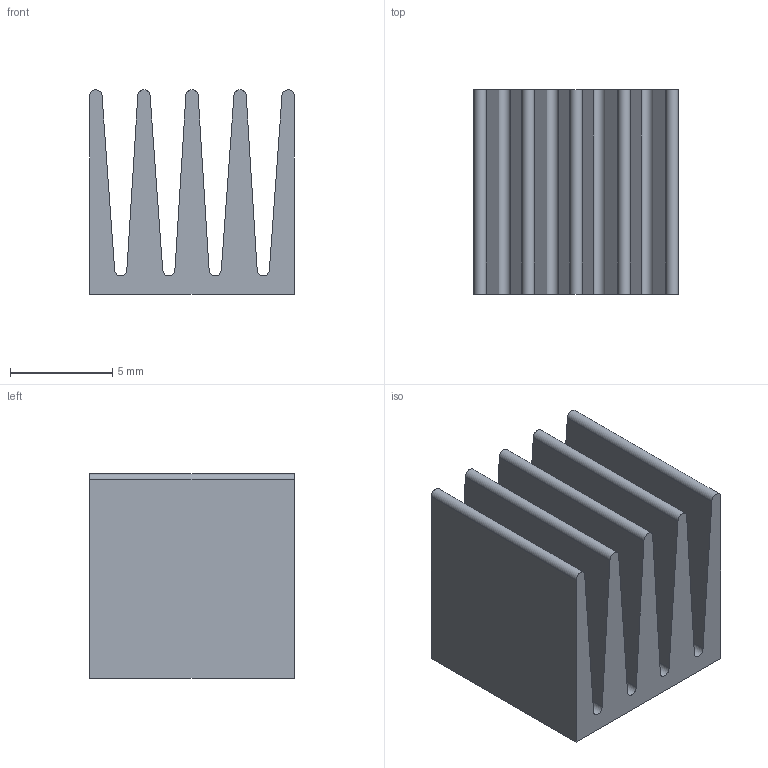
import cadquery as cq

WIDTH = 10.0
LENGTH = 10.0
HEIGHT = 10.0

FIN_COUNT = 5
CREST_RADIUS = 0.3
FIN_PITCH = (WIDTH - 2 * CREST_RADIUS) / (FIN_COUNT - 1)
CREST_CENTER_Z = HEIGHT - CREST_RADIUS

GROOVE_COUNT = FIN_COUNT - 1
BASE_THICKNESS = 0.9
FLOOR_RADIUS = 0.3
FLOOR_CENTER_Z = BASE_THICKNESS + FLOOR_RADIUS
FLOOR_SHIFT = 0.04


def crest_center(fin):
    """X of the middle of a fin crest, counting fins from the left."""
    return (fin - (FIN_COUNT - 1) / 2) * FIN_PITCH


def floor_center(groove):
    """X of the middle of a groove floor, counting grooves from the left."""
    mid_gap = (crest_center(groove) + crest_center(groove + 1)) / 2
    return mid_gap - FLOOR_SHIFT if mid_gap > 0 else mid_gap + FLOOR_SHIFT


def add_crest(profile, fin):
    """Half-round over one fin, from its left side to its right side."""
    crest_x = crest_center(fin)
    return profile.threePointArc((crest_x, HEIGHT), (crest_x + CREST_RADIUS, CREST_CENTER_Z))


def add_groove(profile, groove):
    """Left wall, rounded floor and right wall of one groove."""
    floor_x = floor_center(groove)
    next_fin_left = crest_center(groove + 1) - CREST_RADIUS
    return (
        profile.lineTo(floor_x - FLOOR_RADIUS, FLOOR_CENTER_Z)
        .threePointArc((floor_x, BASE_THICKNESS), (floor_x + FLOOR_RADIUS, FLOOR_CENTER_Z))
        .lineTo(next_fin_left, CREST_CENTER_Z)
    )


def make_heat_sink():
    """Fin profile in the XZ plane, extruded along Y."""
    profile = cq.Workplane("XZ").moveTo(-WIDTH / 2, 0).lineTo(-WIDTH / 2, CREST_CENTER_Z)
    for groove in range(GROOVE_COUNT):
        profile = add_crest(profile, groove)
        profile = add_groove(profile, groove)
    profile = add_crest(profile, FIN_COUNT - 1)
    return profile.lineTo(WIDTH / 2, 0).close().extrude(LENGTH / 2, both=True)


result = make_heat_sink()